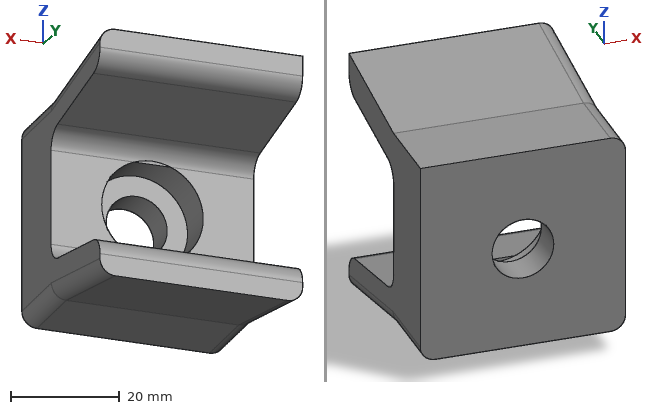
import cadquery as cq
import math

total_height = 48.8
width = 40.0
depth = 40.0
web_thickness = 15.0
flange_angle = 10.0
flange_height = 7.3
hole_diameter = 12.0
bore_diameter = 20.0
bore_floor = 7.0
corner_radius = 3.0
root_radius = 4.0
tip_radius = 4.0

front_y = -depth / 2
tip_y = depth / 2
bend_y = front_y + web_thickness
tip_z = total_height / 2
splay_rise = (tip_y - bend_y) * math.tan(math.radians(flange_angle))
bend_z = tip_z - splay_rise


def make_channel():
    """Web with two splayed flanges, constant along X."""
    upper = [
        (front_y, bend_z),
        (bend_y, bend_z),
        (tip_y, tip_z),
        (tip_y, tip_z - flange_height),
        (bend_y, bend_z - flange_height),
    ]
    lower = [(y, -z) for y, z in reversed(upper)]
    return cq.Workplane("YZ").polyline(upper + lower).close().extrude(width / 2, both=True)


def round_mirrored_edges(body, y, z, radius):
    """Fillet the edges parallel to X at the places (y, +z) and (y, -z)."""
    for side in (1, -1):
        body = body.edges(cq.selectors.NearestToPointSelector((0, y, side * z))).fillet(radius)
    return body


def round_inner_edges(body):
    inner_z = bend_z - flange_height
    body = round_mirrored_edges(body, bend_y, inner_z, root_radius)
    return round_mirrored_edges(body, tip_y, tip_z - flange_height, tip_radius)


def round_outer_corners(body):
    """Round three long corners; the one at -X, +Z stays sharp."""
    margin = 0.05
    for x_side, z_side in ((1, 1), (1, -1), (-1, -1)):
        x = x_side * width / 2
        low_z, high_z = sorted((z_side * (bend_z - margin), z_side * (tip_z + margin)))
        corner = cq.selectors.BoxSelector(
            (x - margin, front_y, low_z),
            (x + margin, tip_y - margin, high_z),
        )
        body = body.edges(corner).fillet(corner_radius)
    return body


def drill_web(body):
    """Through hole, counterbored from the channel side."""
    outer_face = cq.Workplane("XZ", origin=(0, front_y, 0))
    hole = outer_face.circle(hole_diameter / 2).extrude(-web_thickness)
    counterbore = (
        outer_face.workplane(offset=-bore_floor)
        .circle(bore_diameter / 2)
        .extrude(bore_floor - web_thickness)
    )
    return body.cut(hole).cut(counterbore)


result = drill_web(round_outer_corners(round_inner_edges(make_channel())))